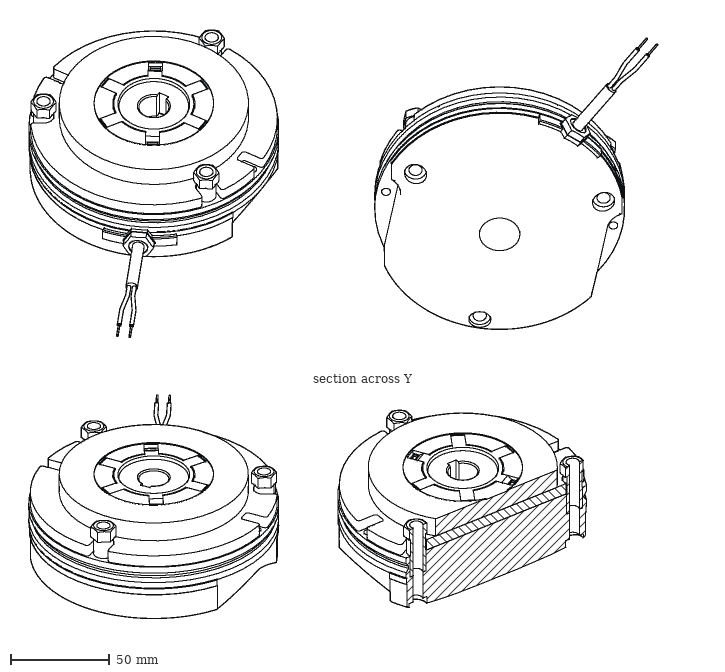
import cadquery as cq
import math

rim_radius = 63.5
band_radius = 63.3
wall_radius = 63.0
groove_radius = 62.2
dome_start_radius = 31.7
dome_arc_radius = 139.7
bottom_fillet = 1.7
band_bottom = 18.5
band_bevel = 0.4
rim_bottom = 22.2
groove_lower_edge = 25.7
groove_floor_bottom = 27.8
groove_floor_top = 29.0
groove_upper_edge = 31.3
housing_top = 34.8
shaft_clearance_radius = 10.2

flat_x = 53.5
flat_front_y = -12.0
clearance_arc_radius = 9.1
clearance_arc_sweep = 75.0

armature_radius = 62.8
armature_thickness = 6.3
armature_top = housing_top + armature_thickness
rim_tolerance = 0.02
slot_fillet = 1.5

screw_circle_radius = 58.7
screw_angles = (0, 180)
screw_hole_radius = 2.2
screw_slot_width = 6.9
screw_slot_inner_x = 51.2

bolt_circle_radius = 56.0
bolt_angles = (90, 210, 330)
bolt_hole_radius = 3.4
bolt_shank_radius = 5.0
bolt_shank_bottom = rim_bottom
bolt_head_flats = 11.2
bolt_head_bottom = 44.9
bolt_head_top = 51.5
bolt_head_face_radius = 5.0
bolt_head_chamfer = 0.7
bolt_slot_width = 10.8
bolt_counterbore_radius = 5.5
bolt_counterbore_top = 5.5

rotor_radius = 48.0
rotor_top = 51.8
rotor_recess_radius = 30.4
rotor_recess_depth = 0.5

hub_top = rotor_top - rotor_recess_depth
hub_body_radius = 20.3
hub_lug_count = 6
hub_lug_radius = 28.9
hub_lug_width = 7.0
spline_gap = 0.5
hub_recess_radius = 18.3
hub_recess_floor_radius = 17.7
hub_recess_depth = 1.7
bore_radius = 7.6
bore_chamfer = 0.7
keyway_width = 5.4
keyway_height = 9.7
spring_lug_angles = (120, 300)
spring_ramp_start = 23.5
spring_ramp_end = 25.7
spring_pocket_depth = 1.9
spring_well_length = 2.2
spring_well_width = 5.2
spring_well_depth = 1.0

cable_angle = -65.0
cable_z = 16.5
cable_radius = 3.0
cable_end = 98.0
grommet_face = 69.1
grommet_nut_start = 65.2
grommet_nut_flats = 13.6
grommet_base_flats = 14.3
grommet_seat = 59.6
grommet_nut_face_radius = 6.0
grommet_nut_chamfer = 0.5
grommet_recess_radius = 4.8
grommet_recess_depth = 0.7
plate_radius = 65.2
plate_height = 6.3
plate_half_angle = 17.0
plate_chamfer = 0.5
wire_radius = 1.02
wire_offset = 1.4
wire_spread_offset = 3.2
wire_spread_start = 104.3
wire_spread_end = 114.5
wire_insulation_end = 125.7
wire_core_radius = 0.47
wire_end = 133.7


def cylinder(radius, bottom, top):
    return cq.Workplane("XY").workplane(offset=bottom).circle(radius).extrude(top - bottom)


def cone(bottom_radius, top_radius, bottom, top):
    return cq.Workplane(
        cq.Solid.makeCone(bottom_radius, top_radius, top - bottom, cq.Vector(0, 0, bottom))
    )


def box_between(x_range, y_range, z_range):
    size = [high - low for low, high in (x_range, y_range, z_range)]
    return cq.Workplane("XY").box(*size, centered=False).translate((x_range[0], y_range[0], z_range[0]))


def turned(shape, angle):
    """Turn a shape about the axis of the part."""
    return shape.rotate((0, 0, 0), (0, 0, 1), angle)


def at_bolts(shape):
    """List of copies of a shape, moved without turning from the axis of the part to each bolt axis."""
    copies = []
    for angle in bolt_angles:
        turn = math.radians(angle)
        place = (bolt_circle_radius * math.cos(turn), bolt_circle_radius * math.sin(turn), 0)
        copies.append(shape.translate(place))
    return copies


def chamfered_hexagon(flats, height, face_radius, chamfer):
    """Hexagon standing on the origin, corners toward +Y and -Y, with its top corners turned down."""
    corner_radius = flats / math.sqrt(3)
    prism = turned(cq.Workplane("XY").polygon(6, 2 * corner_radius).extrude(height), 30)
    envelope = cylinder(corner_radius, 0, height).faces(">Z").chamfer(chamfer, corner_radius - face_radius)
    return prism.intersect(envelope)


def dome_height(radius):
    return dome_arc_radius - math.sqrt(dome_arc_radius**2 - (radius - dome_start_radius) ** 2)


def clearance_cut():
    """Side cut at -X: a flat, ending at its front in a concave arc that runs out of the wall."""
    outside_x = -rim_radius - 9.3

    def arc_point(sweep):
        turn = math.radians(sweep)
        return (
            -flat_x - clearance_arc_radius * (1 - math.cos(turn)),
            flat_front_y - clearance_arc_radius * math.sin(turn),
        )

    arc_end = arc_point(clearance_arc_sweep)
    return (
        cq.Workplane("XY")
        .moveTo(-flat_x, rim_radius)
        .lineTo(-flat_x, flat_front_y)
        .threePointArc(arc_point(clearance_arc_sweep / 2), arc_end)
        .lineTo(outside_x, arc_end[1])
        .lineTo(outside_x, rim_radius)
        .close()
        .extrude(rim_bottom)
    )


def make_housing():
    middle_radius = (dome_start_radius + wall_radius) / 2
    housing = (
        cq.Workplane("XZ")
        .moveTo(shaft_clearance_radius, 0)
        .lineTo(dome_start_radius, 0)
        .threePointArc((middle_radius, dome_height(middle_radius)), (wall_radius, dome_height(wall_radius)))
        .lineTo(wall_radius, band_bottom - band_bevel)
        .lineTo(band_radius, band_bottom)
        .lineTo(band_radius, rim_bottom - band_bevel)
        .lineTo(wall_radius, rim_bottom)
        .lineTo(rim_radius, rim_bottom)
        .lineTo(rim_radius, groove_lower_edge)
        .lineTo(groove_radius, groove_floor_bottom)
        .lineTo(groove_radius, groove_floor_top)
        .lineTo(rim_radius, groove_upper_edge)
        .lineTo(rim_radius, housing_top)
        .lineTo(shaft_clearance_radius, housing_top)
        .close()
        .revolve(360, (0, 0, 0), (0, 1, 0))
    )
    left_cut = clearance_cut()
    housing = housing.cut(left_cut).cut(left_cut.mirror("YZ"))

    edge_zone = cq.selectors.BoxSelector(
        (-rim_radius, -rim_radius, 1.0), (rim_radius, rim_radius, dome_height(wall_radius) + 0.4)
    )
    housing = housing.edges(edge_zone).fillet(bottom_fillet)

    screw_hole = cylinder(screw_hole_radius, 0, housing_top).translate((screw_circle_radius, 0, 0))
    for angle in screw_angles:
        housing = housing.cut(turned(screw_hole, angle))
    bolt_passage = (
        cylinder(bolt_hole_radius, 0, housing_top)
        .union(cylinder(bolt_shank_radius, bolt_shank_bottom, housing_top))
        .union(cylinder(bolt_counterbore_radius, 0, bolt_counterbore_top))
    )
    for passage in at_bolts(bolt_passage):
        housing = housing.cut(passage)
    return housing


def bolt_slot():
    """Slot on the +X side around a bolt, open at the rim and round at its inner end."""
    half_width = bolt_slot_width / 2
    return box_between(
        (bolt_circle_radius, rim_radius), (-half_width, half_width), (housing_top, armature_top)
    ).union(cylinder(half_width, housing_top, armature_top).translate((bolt_circle_radius, 0, 0)))


def screw_slot():
    """Slot on the +X side around a mounting screw, with rounded inner corners."""
    half_width = screw_slot_width / 2
    return (
        box_between((screw_slot_inner_x, rim_radius), (-half_width, half_width), (housing_top, armature_top))
        .edges("|Z and <X")
        .fillet(slot_fillet)
    )


def make_armature():
    armature = cylinder(armature_radius, housing_top, armature_top)
    armature = armature.cut(cylinder(hub_body_radius, housing_top, armature_top))
    for angle in bolt_angles:
        armature = armature.cut(turned(bolt_slot(), angle))
    for angle in screw_angles:
        armature = armature.cut(turned(screw_slot(), angle))

    rim_corners = [
        edge
        for edge in armature.edges("|Z").vals()
        if abs(math.hypot(edge.Center().x, edge.Center().y) - armature_radius) < rim_tolerance
    ]
    return armature.newObject(rim_corners).fillet(slot_fillet)


def spline_prism(body_radius, lug_radius, bottom, top):
    """Round body with evenly spaced radial lugs."""
    prism = cylinder(body_radius, bottom, top)
    lug = box_between((0, lug_radius), (-hub_lug_width / 2, hub_lug_width / 2), (bottom, top))
    for i in range(hub_lug_count):
        prism = prism.union(turned(lug, i * 360 / hub_lug_count))
    return prism


def make_rotor():
    opening = spline_prism(hub_body_radius + spline_gap, hub_lug_radius + spline_gap, armature_top, rotor_top)
    return (
        cylinder(rotor_radius, armature_top, rotor_top)
        .cut(cylinder(rotor_recess_radius, hub_top, rotor_top))
        .cut(opening)
    )


def spring_pocket():
    """Pocket on the +X lug: a ramp down to a flat floor, which has a rectangular well."""
    floor = hub_top - spring_pocket_depth
    floor_middle = (spring_ramp_end + hub_lug_radius) / 2
    well = box_between(
        (floor_middle - spring_well_length / 2, floor_middle + spring_well_length / 2),
        (-spring_well_width / 2, spring_well_width / 2),
        (floor - spring_well_depth, floor),
    )
    ramp = (
        cq.Workplane("XZ")
        .moveTo(spring_ramp_start, hub_top)
        .lineTo(spring_ramp_end, floor)
        .lineTo(hub_lug_radius, floor)
        .lineTo(hub_lug_radius, hub_top)
        .close()
        .extrude(hub_lug_width / 2, both=True)
    )
    return ramp.union(well)


def make_hub():
    hub = spline_prism(hub_body_radius, hub_lug_radius, armature_top, hub_top)
    hub = hub.union(cylinder(hub_body_radius, housing_top, armature_top))
    face = hub_top - hub_recess_depth
    hub = hub.cut(cone(hub_recess_floor_radius, hub_recess_radius, face, hub_top))
    hub = hub.cut(cylinder(bore_radius, housing_top, hub_top))
    hub = hub.cut(cone(bore_radius, bore_radius + bore_chamfer, face - bore_chamfer, face))
    hub = hub.cut(
        box_between((-keyway_width / 2, keyway_width / 2), (0, keyway_height), (housing_top, hub_top))
    )
    for angle in spring_lug_angles:
        hub = hub.cut(turned(spring_pocket(), angle))
    return hub


def make_bolt():
    """Hollow bolt on the axis of the part, with a chamfered hexagonal head."""
    head = chamfered_hexagon(
        bolt_head_flats, bolt_head_top - bolt_head_bottom, bolt_head_face_radius, bolt_head_chamfer
    ).translate((0, 0, bolt_head_bottom))
    return (
        head.union(cylinder(bolt_shank_radius, bolt_shank_bottom, bolt_head_bottom))
        .cut(cylinder(bolt_hole_radius, bolt_shank_bottom, bolt_head_top))
    )


def along_x(radius, start, end):
    return cq.Workplane("YZ", origin=(start, 0, cable_z)).circle(radius).extrude(end - start)


def name_plate():
    """Curved plate on both sides of the grommet, with bevelled outer edges."""
    bottom = cable_z - plate_height / 2
    ring = cylinder(plate_radius, bottom, bottom + plate_height).edges().chamfer(plate_chamfer)
    reach = 2 * plate_radius
    half_spread = reach * math.tan(math.radians(plate_half_angle))
    sector = (
        cq.Workplane("XY")
        .workplane(offset=bottom)
        .polyline([(0, 0), (reach, -half_spread), (reach, half_spread)])
        .close()
        .extrude(plate_height)
    )
    return ring.intersect(sector).cut(cylinder(grommet_seat, bottom, bottom + plate_height))


def grommet():
    base = (
        cq.Workplane("YZ", origin=(grommet_seat, 0, cable_z))
        .polygon(6, 2 * grommet_base_flats / math.sqrt(3))
        .extrude(grommet_nut_start - grommet_seat)
    )
    nut = (
        chamfered_hexagon(
            grommet_nut_flats, grommet_face - grommet_nut_start, grommet_nut_face_radius, grommet_nut_chamfer
        )
        .rotate((0, 0, 0), (0, 1, 0), 90)
        .translate((grommet_nut_start, 0, cable_z))
    )
    recess = along_x(grommet_recess_radius, grommet_face - grommet_recess_depth, grommet_face)
    return name_plate().union(base).union(nut).cut(recess)


def wire(side):
    """Insulated wire with a bare core, bent outward on the given side of the cable axis."""
    inner = side * wire_offset
    outer = side * wire_spread_offset
    path = cq.Workplane("XY", origin=(0, 0, cable_z)).polyline(
        [
            (cable_end, inner),
            (wire_spread_start, inner),
            (wire_spread_end, outer),
            (wire_insulation_end, outer),
        ]
    )
    insulation = (
        cq.Workplane("YZ", origin=(cable_end, inner, cable_z))
        .circle(wire_radius)
        .sweep(path, transition="round")
    )
    core = along_x(wire_core_radius, wire_insulation_end, wire_end).translate((0, outer, 0))
    return insulation.union(core)


def make_cable():
    cable = grommet().union(along_x(cable_radius, grommet_seat, cable_end))
    for side in (-1, 1):
        cable = cable.union(wire(side))
    return turned(cable, cable_angle)


cable = make_cable()
housing = make_housing().cut(cable)
armature = make_armature()
rotor = make_rotor()
hub = make_hub()
bolts = [bolt.val() for bolt in at_bolts(make_bolt())]

result = cq.Compound.makeCompound(
    [housing.val(), armature.val(), rotor.val(), hub.val(), *bolts, cable.val()]
)